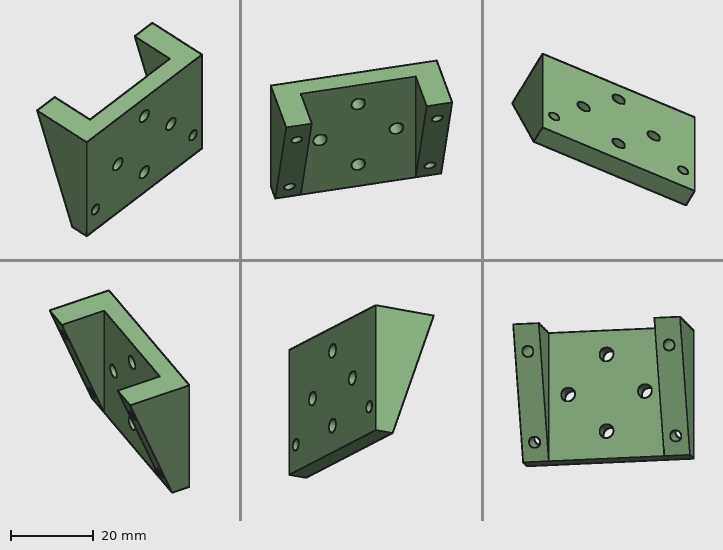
import cadquery as cq
import math

depth = 16.3
width = 41.25
height = 31.75

plate_thickness = 4.75
cheek_thickness = 6.35
back_x = depth / 2
plate_front_x = back_x - plate_thickness
pocket_width = width - 2 * cheek_thickness

plate_hole_diameter = 3.4
plate_hole_radius = 9.5
plate_hole_center_z = 16.3

cheek_hole_diameter = 2.72
cheek_hole_y = (width - cheek_thickness) / 2
cheek_hole_heights = (4.45, 25.35)
cheek_hole_depth = 2 * cheek_thickness

slope_run = depth - plate_thickness
slope_length = math.hypot(slope_run, height)
inward = cq.Vector(height / slope_length, 0, slope_run / slope_length)


def make_bracket():
    """Extrude the tapered side profile and clear the space between the cheeks."""
    profile = [
        (plate_front_x, 0),
        (back_x, 0),
        (back_x, height),
        (-depth / 2, height),
    ]
    body = cq.Workplane("XZ").polyline(profile).close().extrude(width / 2, both=True)
    pocket = (
        cq.Workplane("XY")
        .box(slope_run, pocket_width, height, centered=(False, True, False))
        .translate((-depth / 2, 0, 0))
    )
    return body.cut(pocket)


def make_plate_holes():
    """Through holes along X, a quarter turn apart."""
    return (
        cq.Workplane("YZ", origin=(plate_front_x, 0, plate_hole_center_z))
        .polarArray(plate_hole_radius, 0, 360, 4)
        .circle(plate_hole_diameter / 2)
        .extrude(plate_thickness)
    )


def make_cheek_hole(y, z):
    """Flat-bottomed hole drilled into the sloped face at height z."""
    face_x = plate_front_x - slope_run * z / height
    return cq.Solid.makeCylinder(
        cheek_hole_diameter / 2, cheek_hole_depth, cq.Vector(face_x, y, z), inward
    )


result = make_bracket().cut(make_plate_holes())
for side in (-1, 1):
    for hole_z in cheek_hole_heights:
        result = result.cut(make_cheek_hole(side * cheek_hole_y, hole_z))